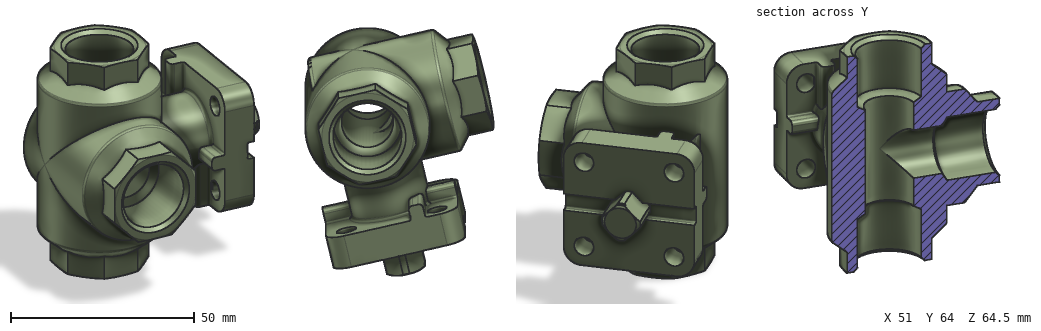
import cadquery as cq
import math

overall_height = 64.5
overall_depth = 64.0
port_reach = overall_height / 2
branch_reach = 32.5

overlap = 0.65

body_diameter = 34.0
body_radius = body_diameter / 2
body_shoulder = 22.25
shoulder_angle = 40.0
shoulder_fillet = 0.95
branch_back_x = -12.9
branch_back_fillet = 1.0

octagon_sides = 8
octagon_flats = 25.0
octagon_chamfer_angle = 15.0

thread_diameter = 18.65
thread_mouth_diameter = 20.95
thread_depth = 15.5
bore_diameter = 14.1
bore_cone_angle = 60.0

neck_diameter = 22.0
neck_fillet = 0.9
plate_side = 36.95
plate_front_y = 28.95
plate_back_y = 38.0
plate_corner_radius = 5.0
bolt_circle = 36.0
bolt_diameter = 5.5

rib_width = 4.0
rib_height = 4.0
rib_tip_radius = 1.15
rib_root_fillet = 0.65
side_rib_z = 1.7
end_rib_x = -7.5

groove_width = 4.95
groove_depth = 2.0
groove_corner_radius = 0.5

stem_tip_y = overall_depth - body_radius
stem_square = 8.95
stem_diameter = 11.0
stem_bevel_height = 0.45
stem_bevel_width = 1.0
stem_relief_diameter = 10.6
stem_relief_length = 1.1


def tangent(angle):
    return math.tan(math.radians(angle))


def octagon_prism(start, end):
    """Octagonal bar along Z with flats facing X and Y and a bevelled outer end."""
    corner_diameter = octagon_flats / math.cos(math.pi / octagon_sides)
    corner_radius = corner_diameter / 2
    flat_radius = octagon_flats / 2
    bevel_drop = (corner_radius - flat_radius) * tangent(octagon_chamfer_angle)
    prism = (
        cq.Workplane("XY")
        .workplane(offset=start)
        .transformed(rotate=(0, 0, 180 / octagon_sides))
        .polygon(octagon_sides, corner_diameter)
        .extrude(end - start)
    )
    turned = (
        cq.Workplane("XZ")
        .moveTo(0, start)
        .lineTo(corner_radius, start)
        .lineTo(corner_radius, end - bevel_drop)
        .lineTo(flat_radius, end)
        .lineTo(0, end)
        .close()
        .revolve(360, (0, 0), (0, 1))
    )
    return prism.intersect(turned)


def barrel_half(reach):
    """Cylinder from the origin along +Z, closed by a conical shoulder and an octagonal end."""
    cone_top_radius = octagon_flats / 2 - overlap
    cone_top = body_shoulder + (body_radius - cone_top_radius) * tangent(shoulder_angle)
    barrel = (
        cq.Workplane("XZ")
        .lineTo(body_radius, 0)
        .lineTo(body_radius, body_shoulder)
        .lineTo(cone_top_radius, cone_top)
        .lineTo(0, cone_top)
        .close()
        .revolve(360, (0, 0), (0, 1))
        .edges(cq.NearestToPointSelector((0, 0, body_shoulder)))
        .fillet(shoulder_fillet)
    )
    return barrel.union(octagon_prism(body_shoulder, reach))


def port_bore(reach):
    """Bore from the origin along +Z: passage, conical step, thread bore and mouth bevel."""
    bore_radius = bore_diameter / 2
    thread_radius = thread_diameter / 2
    mouth_radius = thread_mouth_diameter / 2
    thread_end = reach - thread_depth
    return (
        cq.Workplane("XZ")
        .lineTo(bore_radius, 0)
        .lineTo(bore_radius, thread_end - (thread_radius - bore_radius) / tangent(bore_cone_angle))
        .lineTo(thread_radius, thread_end)
        .lineTo(thread_radius, reach - (mouth_radius - thread_radius))
        .lineTo(mouth_radius, reach)
        .lineTo(0, reach)
        .close()
        .revolve(360, (0, 0), (0, 1))
    )


def to_lower_port(shape):
    return shape.rotate((0, 0, 0), (1, 0, 0), 180)


def to_branch(shape):
    return shape.rotate((0, 0, 0), (0, 1, 0), 90)


def disc_y(diameter, start_y, end_y):
    """Cylinder along the stem axis between two Y positions."""
    return cq.Workplane("XZ", origin=(0, start_y, 0)).circle(diameter / 2).extrude(start_y - end_y)


def make_body():
    """Vertical run with two ports, and a side branch whose blind back end shows behind it."""
    upper_half = barrel_half(port_reach)
    lower_half = to_lower_port(upper_half)
    branch = to_branch(barrel_half(branch_reach))
    branch_back = (
        cq.Workplane("YZ")
        .circle(body_radius)
        .extrude(branch_back_x)
        .faces("<X")
        .edges()
        .fillet(branch_back_fillet)
    )
    return upper_half.union(lower_half).union(branch).union(branch_back)


def rib_bar(length):
    """Rib along X from the origin, standing out toward -Y from the plate's front face."""
    half_root = rib_width / 2 + rib_root_fillet
    half_width = rib_width / 2
    half_tip = half_width - rib_tip_radius
    tip_y = plate_front_y - rib_height
    root_y = plate_front_y - rib_root_fillet
    shoulder_y = tip_y + rib_tip_radius
    sunk_y = plate_front_y + overlap
    return (
        cq.Workplane("YZ")
        .moveTo(sunk_y, -half_root)
        .lineTo(plate_front_y, -half_root)
        .radiusArc((root_y, -half_width), -rib_root_fillet)
        .lineTo(shoulder_y, -half_width)
        .radiusArc((tip_y, -half_tip), rib_tip_radius)
        .lineTo(tip_y, half_tip)
        .radiusArc((shoulder_y, half_width), rib_tip_radius)
        .lineTo(root_y, half_width)
        .radiusArc((plate_front_y, half_root), -rib_root_fillet)
        .lineTo(sunk_y, half_root)
        .close()
        .extrude(length)
    )


def make_ribs():
    """Two ribs meeting the neck on its -X and +Z sides, and their half-turn copies."""
    half_side = plate_side / 2
    side_rib = rib_bar(half_side).translate((-half_side, 0, side_rib_z))
    end_rib = rib_bar(half_side).rotate((0, 0, 0), (0, 1, 0), -90).translate((end_rib_x, 0, 0))
    pair = side_rib.union(end_rib)
    return pair.union(pair.rotate((0, 0, 0), (0, 1, 0), 180))


def make_plate():
    """Square mounting plate with rounded corners, four bolt holes and a groove across its back."""
    thickness = plate_back_y - plate_front_y
    bolt_square = bolt_circle / math.sqrt(2)
    plate = (
        cq.Workplane("XZ", origin=(0, plate_front_y, 0))
        .rect(plate_side, plate_side)
        .extrude(-thickness)
        .edges("|Y")
        .fillet(plate_corner_radius)
    )
    bolt_holes = (
        cq.Workplane("XZ", origin=(0, plate_front_y, 0))
        .rect(bolt_square, bolt_square, forConstruction=True)
        .vertices()
        .circle(bolt_diameter / 2)
        .extrude(-thickness)
    )
    groove = (
        cq.Workplane("XY")
        .box(plate_side, groove_depth, groove_width)
        .translate((0, plate_back_y - groove_depth / 2, 0))
        .edges("|X and <Y")
        .fillet(groove_corner_radius)
    )
    return plate.cut(bolt_holes).cut(groove)


def make_neck():
    """Round neck from the body to the plate, flaring into the plate's front face."""
    neck_radius = neck_diameter / 2
    return (
        cq.Workplane("XY")
        .lineTo(neck_radius, 0)
        .lineTo(neck_radius, plate_front_y - neck_fillet)
        .radiusArc((neck_radius + neck_fillet, plate_front_y), neck_fillet)
        .lineTo(0, plate_front_y)
        .close()
        .revolve(360, (0, 0), (0, 1))
    )


def stem_relief():
    """Shallow turned step around the +X and +Z corners of the stem tip."""
    relief_start = stem_tip_y - stem_relief_length
    ring = disc_y(stem_diameter + overlap, relief_start, stem_tip_y).cut(
        disc_y(stem_relief_diameter, relief_start, stem_tip_y))
    reach = stem_diameter
    corner_side = (
        cq.Workplane("XZ", origin=(0, relief_start, 0))
        .polyline([(reach, -reach), (reach, reach), (-reach, reach)])
        .close()
        .extrude(-stem_relief_length)
    )
    return ring.intersect(corner_side)


def make_stem():
    """Square bar standing on edge, with turned corners and a bevelled tip."""
    length = stem_tip_y - plate_front_y
    square_bar = (
        cq.Workplane("XZ", origin=(0, plate_front_y, 0))
        .transformed(rotate=(0, 0, 45))
        .rect(stem_square, stem_square)
        .extrude(-length)
    )
    turned_bar = (
        disc_y(stem_diameter, plate_front_y, stem_tip_y)
        .faces(">Y")
        .chamfer(stem_bevel_height, stem_bevel_width)
    )
    return square_bar.intersect(turned_bar).cut(stem_relief())


upper_bore = port_bore(port_reach)

result = (
    make_body()
    .union(make_neck())
    .union(make_plate())
    .union(make_ribs())
    .union(make_stem())
    .cut(upper_bore)
    .cut(to_lower_port(upper_bore))
    .cut(to_branch(port_bore(branch_reach)))
)